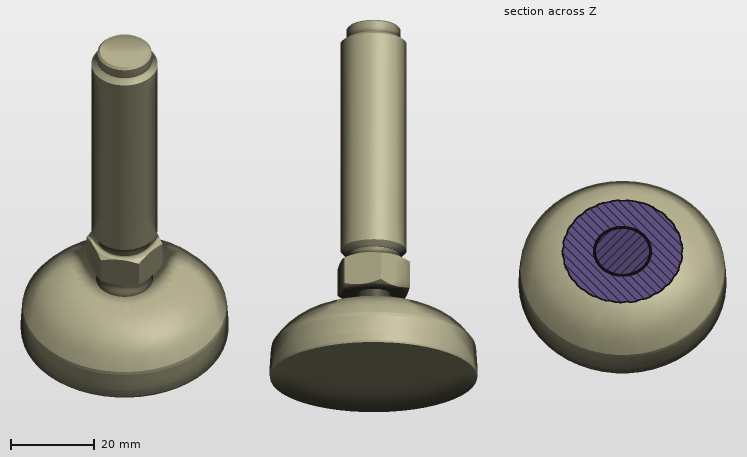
import cadquery as cq
import math


foot_radius = 25.02
pad_height = 2.4
pad_bevel_height = 0.45
pad_bevel_width = 0.1
rim_radius = 24.7
rim_height = 7.05
dome_start_radius = 24.5
dome_start_height = 7.85
dome_flat_radius = 9.0
dome_height = 16.4

ball_radius = 14.0 / 2
socket_mouth_radius = 13.7 / 2
neck_radius = 8 / 2
neck_bottom = 19.1
ball_center = neck_bottom - math.sqrt(ball_radius**2 - neck_radius**2)

hex_flats = 16.0
hex_corners = hex_flats / math.cos(math.pi / 6)
hex_bottom = 21.1
hex_height = 8.0
hex_top = hex_bottom + hex_height
hex_chamfer_height = 0.7

total_height = 89.2
shank_radius = 16.0 / 2
relief_radius = 13.0 / 2
chamfer_end_radius = 13.3 / 2
shank_chamfer = shank_radius - chamfer_end_radius
shank_bottom = 31.0
tip_length = 3.0
shank_top = total_height - tip_length
shank_top_chamfer_height = 1.1
tip_chamfer = 0.5


def revolve_about_z(profile):
    """Turn a closed XZ profile (radius, height) one full turn about the Z axis."""
    return profile.close().revolve(360, (0, 0, 0), (0, 1, 0))


def make_pad():
    return revolve_about_z(
        cq.Workplane("XZ")
        .lineTo(foot_radius - pad_bevel_width, 0)
        .lineTo(foot_radius, pad_bevel_height)
        .lineTo(foot_radius, pad_height)
        .lineTo(0, pad_height)
    )


def dome_midpoint():
    """Middle of the dome arc, which is tangent to the flat top."""
    run = dome_start_radius - dome_flat_radius
    drop = dome_height - dome_start_height
    arc_radius = (run**2 + drop**2) / (2 * drop)
    half_angle = math.atan2(drop, run)
    radius = dome_flat_radius + arc_radius * math.sin(half_angle)
    height = dome_height - arc_radius * (1 - math.cos(half_angle))
    return radius, height


def make_base():
    base = revolve_about_z(
        cq.Workplane("XZ")
        .moveTo(0, pad_height)
        .lineTo(foot_radius, pad_height)
        .lineTo(rim_radius, rim_height)
        .lineTo(dome_start_radius, dome_start_height)
        .threePointArc(dome_midpoint(), (dome_flat_radius, dome_height))
        .lineTo(0, dome_height)
    )
    socket = cq.Workplane("XY").sphere(ball_radius).translate((0, 0, ball_center))
    mouth = (
        cq.Workplane("XY")
        .workplane(offset=ball_center)
        .circle(socket_mouth_radius)
        .extrude(dome_height - ball_center)
    )
    return base.cut(socket).cut(mouth)


def make_hexagon():
    """Hexagon with corners on the Y axis, both ends chamfered to the flats' circle."""
    hexagon = (
        cq.Workplane("XY")
        .workplane(offset=hex_bottom)
        .polygon(6, hex_corners)
        .extrude(hex_height)
        .rotate((0, 0, 0), (0, 0, 1), 30)
    )
    chamfered_blank = revolve_about_z(
        cq.Workplane("XZ")
        .moveTo(0, hex_bottom)
        .lineTo(hex_flats / 2, hex_bottom)
        .lineTo(hex_corners / 2, hex_bottom + hex_chamfer_height)
        .lineTo(hex_corners / 2, hex_top - hex_chamfer_height)
        .lineTo(hex_flats / 2, hex_top)
        .lineTo(0, hex_top)
    )
    return hexagon.intersect(chamfered_blank)


def make_stud():
    ball_and_neck = revolve_about_z(
        cq.Workplane("XZ")
        .moveTo(0, ball_center - ball_radius)
        .threePointArc((ball_radius, ball_center), (neck_radius, neck_bottom))
        .lineTo(neck_radius, hex_bottom)
        .lineTo(0, hex_bottom)
    )
    shank = revolve_about_z(
        cq.Workplane("XZ")
        .moveTo(0, hex_top)
        .lineTo(relief_radius, hex_top)
        .lineTo(relief_radius, shank_bottom)
        .lineTo(chamfer_end_radius, shank_bottom)
        .lineTo(shank_radius, shank_bottom + shank_chamfer)
        .lineTo(shank_radius, shank_top - shank_top_chamfer_height)
        .lineTo(chamfer_end_radius, shank_top)
        .lineTo(relief_radius, shank_top)
        .lineTo(relief_radius, total_height - tip_chamfer)
        .lineTo(relief_radius - tip_chamfer, total_height)
        .lineTo(0, total_height)
    )
    return ball_and_neck.union(make_hexagon()).union(shank)


pad = make_pad()
base = make_base()
stud = make_stud()

result = cq.Compound.makeCompound([body.solids().val() for body in (pad, base, stud)])